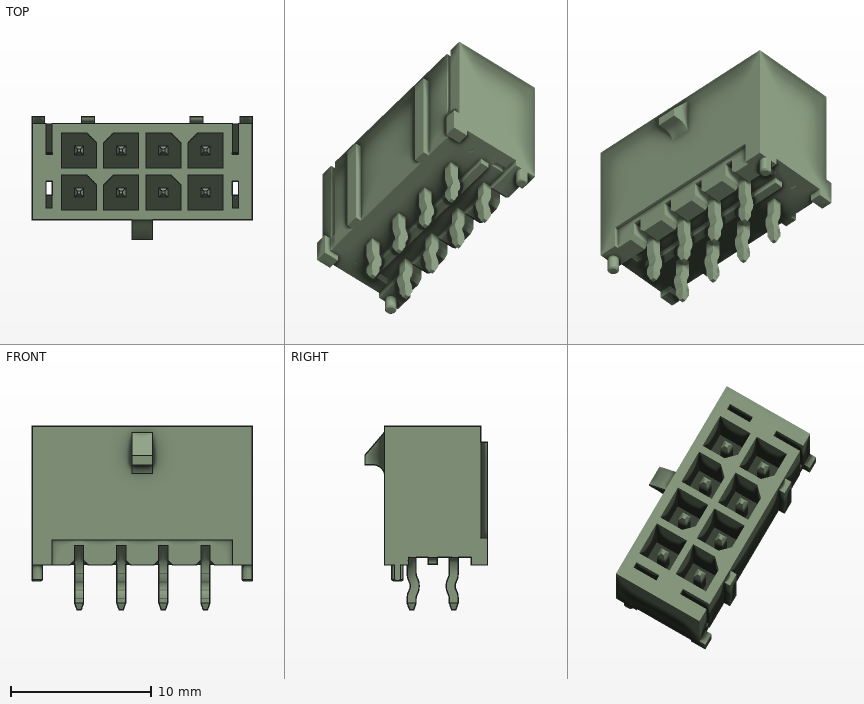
import cadquery as cq
import math


length = 15.7
depth = 6.88
height = 9.9
overall_height = 13.1
half_length = length / 2
front_y = -depth / 2
back_y = depth / 2

pitch = 3.0
column_count = 4
row_y = pitch / 2
column_xs = [(column - (column_count - 1) / 2) * pitch for column in range(column_count)]

cavity_size = 2.5
cavity_key = 0.7
cavity_floor_z = 2.4

floor_z = 0.55
front_foot_inner_y = -1.73
back_foot_inner_y = 2.74
back_foot_length = 0.89
skirt_half_length = 6.43
skirt_recess = 0.28
skirt_recess_height = 1.78
notch_top_z = 1.39
notch_mouth_width = 1.3
notch_mouth_height = 0.33
keel_width = 0.66
keel_bottom_z = 0.05

rib_depth = 0.48
rib_length = 0.95
rib_x = 3.87
rib_top_z = 8.76
heel_height = 1.94

slot_x = 6.63
slot_width = 0.43
back_slot_start_y = 1.24
back_shelf_start_y = 1.34
back_shelf_setback = 0.05
front_slot_start_y = -2.59
front_slot_end_y = -0.70
front_shelf_end_y = -1.68

latch_width = 1.47
latch_reach = 1.4
latch_top_z = 9.46
latch_nose_top_z = 7.82
latch_nose_bottom_z = 7.14
latch_root_z = 6.51
latch_flat = 0.57

peg_radius = 0.41
peg_inset = 0.34
peg_y = -2.51
peg_length = 1.14
peg_chamfer = 0.11

pin_size = 0.65
half_pin = pin_size / 2
pin_bottom_z = height - overall_height
solder_tip_length = 0.5
solder_tip_size = 0.3
mating_tip_length = 0.5
mating_tip_size = 0.22
pin_top_z = 7.5
kink_start_z = -0.6
kink_end_z = -2.38
kink_offset = 0.22


def block(x0, x1, y0, y1, z0, z1):
    """Box between two opposite corners."""
    return cq.Workplane("XY").box(x1 - x0, y1 - y0, z1 - z0, centered=False).translate((x0, y0, z0))


def centered_block(x, width, y0, y1, z0, z1):
    """Box centered on x."""
    return block(x - width / 2, x + width / 2, y0, y1, z0, z1)


def make_shell():
    """Housing block with the underside relieved between its feet."""
    shell = block(-half_length, half_length, front_y, back_y, 0, height)
    shell = shell.cut(block(-half_length, half_length, front_foot_inner_y, back_foot_inner_y, 0, floor_z))
    back_gap_width = length - 2 * back_foot_length
    shell = shell.cut(centered_block(0, back_gap_width, back_foot_inner_y, back_y, 0, floor_z))
    shell = shell.cut(
        centered_block(0, 2 * skirt_half_length, front_y, front_y + skirt_recess, 0, skirt_recess_height)
    )
    keel = centered_block(0, 2 * skirt_half_length, -keel_width / 2, keel_width / 2, keel_bottom_z, floor_z)
    return shell.union(keel)


def pin_notch(x):
    """Notch in the front skirt around one front pin, with a flared mouth."""
    slot = centered_block(x, pin_size, front_y, -row_y, 0, notch_top_z)
    mouth = (
        cq.Workplane("XZ", origin=(x, front_foot_inner_y, 0))
        .moveTo(-notch_mouth_width / 2, 0)
        .lineTo(notch_mouth_width / 2, 0)
        .lineTo(half_pin, notch_mouth_height)
        .lineTo(-half_pin, notch_mouth_height)
        .close()
        .extrude(front_foot_inner_y - front_y)
    )
    return slot.union(mouth)


def cavity(x, y, key_side):
    """Square cavity; key_side +1 or -1 fills the back corner on that X side, 0 leaves it square."""
    opening = centered_block(x, cavity_size, y - cavity_size / 2, y + cavity_size / 2, cavity_floor_z, height)
    if key_side == 0:
        return opening
    corner_x = x + key_side * cavity_size / 2
    corner_y = y + cavity_size / 2
    key = (
        cq.Workplane("XY", origin=(corner_x, corner_y, cavity_floor_z))
        .lineTo(-key_side * cavity_key, 0)
        .lineTo(0, -cavity_key)
        .close()
        .extrude(height - cavity_floor_z)
    )
    return opening.cut(key)


def clip_slots(side):
    """Front and back clip slots at one end of the housing, each with a shelf part-way along it."""
    x = side * slot_x
    shelf_end_y = back_y - back_shelf_setback
    back_slot = centered_block(x, slot_width, back_slot_start_y, back_y, 0, height)
    back_shelf = centered_block(x, slot_width, back_shelf_start_y, shelf_end_y, 0, heel_height)
    front_slot = centered_block(x, slot_width, front_slot_start_y, front_slot_end_y, 0, height)
    front_shelf = centered_block(x, slot_width, front_slot_start_y, front_shelf_end_y, 0, heel_height)
    return back_slot.cut(back_shelf).union(front_slot.cut(front_shelf))


def back_features(side):
    """Rib and heel standing out from the back wall on one side."""
    outer_y = back_y + rib_depth
    rib = centered_block(side * rib_x, rib_length, back_y, outer_y, floor_z, rib_top_z)
    heel_x = side * (half_length - back_foot_length / 2)
    heel = centered_block(heel_x, back_foot_length, back_y, outer_y, 0, heel_height)
    return rib.union(heel)


def make_latch():
    """Ramped latch on the front wall, undercut by an arc that runs tangent into its flat nose."""
    nose_y = front_y - latch_reach
    arc_run = latch_reach - latch_flat
    arc_rise = latch_nose_bottom_z - latch_root_z
    radius = (arc_run**2 + arc_rise**2) / (2 * arc_rise)
    half_sweep = math.asin(arc_run / radius) / 2
    arc_middle = (
        nose_y + latch_flat + radius * math.sin(half_sweep),
        latch_nose_bottom_z - radius * (1 - math.cos(half_sweep)),
    )
    return (
        cq.Workplane("YZ", origin=(-latch_width / 2, 0, 0))
        .moveTo(front_y, latch_top_z)
        .lineTo(nose_y, latch_nose_top_z)
        .lineTo(nose_y, latch_nose_bottom_z)
        .lineTo(nose_y + latch_flat, latch_nose_bottom_z)
        .threePointArc(arc_middle, (front_y, latch_root_z))
        .close()
        .extrude(latch_width)
    )


def peg(side):
    """Round locating peg, trimmed flush with the end of the housing."""
    round_peg = (
        cq.Workplane("XY", origin=(side * (half_length - peg_inset), peg_y, 0))
        .circle(peg_radius)
        .extrude(-peg_length)
        .faces("<Z")
        .chamfer(peg_chamfer)
    )
    return round_peg.intersect(block(-half_length, half_length, front_y, back_y, -peg_length, 0))


def pin_tip(x, y, base_z, tip_size, rise):
    """Four-sided tapered pin end; a negative rise points down."""
    return (
        cq.Workplane("XY", origin=(x, y, base_z))
        .rect(pin_size, pin_size)
        .workplane(offset=rise)
        .rect(tip_size, tip_size)
        .loft(combine=True)
    )


def make_pin(x, y):
    """Square pin whose solder tail kinks toward the middle of the part in three tangent arcs."""
    inward = -math.copysign(1, y)
    middle_z = (kink_start_z + kink_end_z) / 2
    half_kink = (kink_start_z - kink_end_z) / 2
    bend = 2 * math.atan(kink_offset / half_kink)
    bend_radius = half_kink / (2 * math.sin(bend))
    shank_top_z = pin_top_z - mating_tip_length
    shank_bottom_z = pin_bottom_z + solder_tip_length

    def entry_point(edge, angle, end_z, down):
        radius = bend_radius - edge
        return y + inward * (bend_radius - radius * math.cos(angle)), end_z + down * radius * math.sin(angle)

    def crest_point(edge, angle):
        radius = bend_radius + edge
        offset = kink_offset - bend_radius + radius * math.cos(angle)
        return y + inward * offset, middle_z + radius * math.sin(angle)

    inner = half_pin
    outer = -half_pin
    shank = (
        cq.Workplane("YZ", origin=(x - half_pin, 0, 0))
        .moveTo(y + inward * outer, shank_top_z)
        .lineTo(*entry_point(outer, 0, kink_start_z, -1))
        .threePointArc(entry_point(outer, bend / 2, kink_start_z, -1), crest_point(outer, bend))
        .threePointArc(crest_point(outer, 0), crest_point(outer, -bend))
        .threePointArc(entry_point(outer, bend / 2, kink_end_z, 1), entry_point(outer, 0, kink_end_z, 1))
        .lineTo(y + inward * outer, shank_bottom_z)
        .lineTo(y + inward * inner, shank_bottom_z)
        .lineTo(*entry_point(inner, 0, kink_end_z, 1))
        .threePointArc(entry_point(inner, bend / 2, kink_end_z, 1), crest_point(inner, -bend))
        .threePointArc(crest_point(inner, 0), crest_point(inner, bend))
        .threePointArc(entry_point(inner, bend / 2, kink_start_z, -1), entry_point(inner, 0, kink_start_z, -1))
        .lineTo(y + inward * inner, shank_top_z)
        .close()
        .extrude(pin_size)
    )
    solder_tip = pin_tip(x, y, shank_bottom_z, solder_tip_size, -solder_tip_length)
    mating_tip = pin_tip(x, y, shank_top_z, mating_tip_size, mating_tip_length)
    return shank.union(solder_tip).union(mating_tip)


result = make_shell().union(make_latch())

for side in (-1, 1):
    result = result.cut(clip_slots(side)).union(back_features(side)).union(peg(side))

for column, x in enumerate(column_xs):
    key_side = 1 if column % 2 == 0 else -1
    last_column = column == column_count - 1
    front_key_side = 0 if last_column else key_side
    result = result.cut(pin_notch(x))
    result = result.cut(cavity(x, row_y, key_side))
    result = result.cut(cavity(x, -row_y, front_key_side))

for x in column_xs:
    for y in (-row_y, row_y):
        result = result.union(make_pin(x, y))